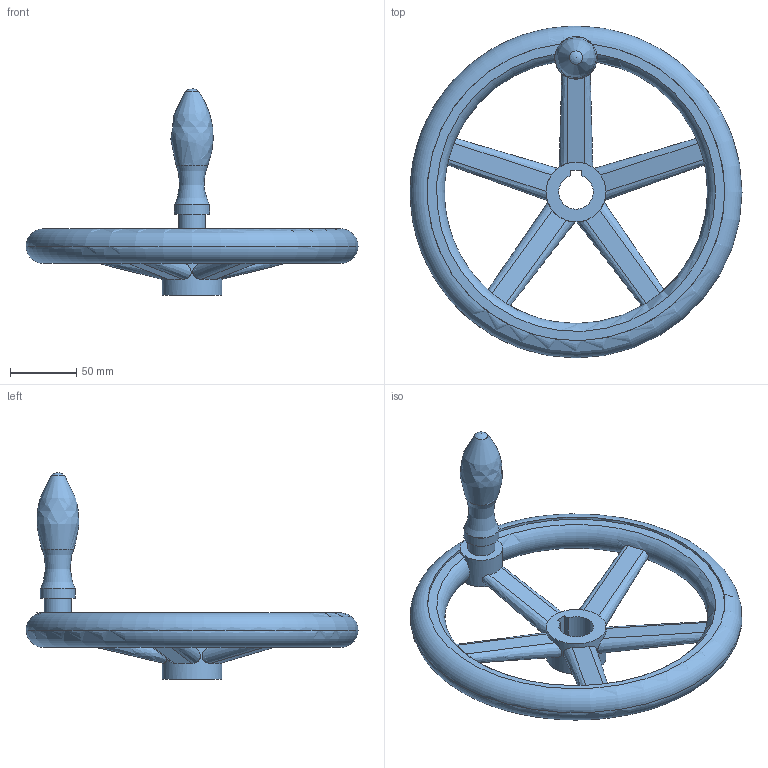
import cadquery as cq

wheel_radius = 125.0
overall_height = 155.47

tube_radius = 13.0
rim_radius = wheel_radius - tube_radius
rim_inner_radius = rim_radius - tube_radius
rim_bottom_z = 24.0
rim_mid_z = rim_bottom_z + tube_radius
rim_top_z = rim_mid_z + tube_radius
rim_step_depth = 2.0

hub_radius = 22.5
hub_height = 28.0
bore_radius = 13.0
key_width = 8.0
key_top_y = 16.3

spoke_count = 5
first_spoke_angle = 90.0
spoke_flat_width = 13.0
spoke_hub_thickness = 12.2
spoke_hub_mid_z = 18.3
spoke_rim_thickness = 8.0
spoke_rim_mid_z = 34.4
spoke_start_radius = 17.0
spoke_end_radius = 106.0

handle_y = 101.0
boss_radius = 16.0
boss_bottom_z = 25.5

shank_radius = 10.25
collar_radius = 13.25
collar_bottom_z = 61.0
collar_top_z = 68.5
neck_base_radius = 13.0
waist_radius = 9.2
waist_z = 84.3
grip_start_radius = 12.0
grip_start_z = 98.0
belly_radius = 16.0
belly_z = 118.5
tip_radius = 5.0
tip_z = 153.6


def make_rim():
    tube = (
        cq.Workplane("XZ")
        .center(rim_radius, rim_mid_z)
        .circle(tube_radius)
        .revolve(360, (-rim_radius, 0, 0), (-rim_radius, 1, 0))
    )
    step = (
        cq.Workplane("XY", origin=(0, 0, rim_top_z - rim_step_depth))
        .circle(rim_radius)
        .circle(rim_inner_radius)
        .extrude(tube_radius)
    )
    return tube.cut(step)


def make_hub():
    return cq.Workplane("XY").circle(hub_radius).extrude(hub_height)


def cut_keyed_bore(body):
    bore = cq.Workplane("XY").circle(bore_radius).extrude(hub_height)
    keyway = (
        cq.Workplane("XY")
        .center(0, key_top_y / 2)
        .rect(key_width, key_top_y)
        .extrude(hub_height)
    )
    return body.cut(bore).cut(keyway)


def along_spoke(hub_value, rim_value, radius):
    """Straight-line change of a spoke size from the hub surface to the inside of the rim."""
    fraction = (radius - hub_radius) / (rim_inner_radius - hub_radius)
    return hub_value + fraction * (rim_value - hub_value)


def spoke_section(radius):
    thickness = along_spoke(spoke_hub_thickness, spoke_rim_thickness, radius)
    mid_z = along_spoke(spoke_hub_mid_z, spoke_rim_mid_z, radius)
    section = cq.Workplane("YZ", origin=(radius, 0, mid_z)).slot2D(spoke_flat_width + thickness, thickness)
    return section.val()


def make_spoke():
    sections = [spoke_section(spoke_start_radius), spoke_section(spoke_end_radius)]
    return cq.Workplane(cq.Solid.makeLoft(sections, True))


def make_handle_boss():
    return (
        cq.Workplane("XY", origin=(0, handle_y, boss_bottom_z))
        .circle(boss_radius)
        .extrude(rim_top_z - boss_bottom_z)
    )


def make_handle():
    cap_height = overall_height - tip_z
    cap_sphere_radius = (tip_radius**2 + cap_height**2) / (2 * cap_height)
    cap_mid_radius = tip_radius / 2
    cap_drop = cap_sphere_radius - (cap_sphere_radius**2 - cap_mid_radius**2) ** 0.5
    return (
        cq.Workplane("XZ", origin=(0, handle_y, 0))
        .moveTo(0, boss_bottom_z)
        .lineTo(shank_radius, boss_bottom_z)
        .lineTo(shank_radius, collar_bottom_z)
        .lineTo(collar_radius, collar_bottom_z)
        .lineTo(collar_radius, collar_top_z)
        .lineTo(neck_base_radius, collar_top_z)
        .threePointArc((waist_radius, waist_z), (grip_start_radius, grip_start_z))
        .threePointArc((belly_radius, belly_z), (tip_radius, tip_z))
        .threePointArc((cap_mid_radius, overall_height - cap_drop), (0, overall_height))
        .close()
        .revolve(360, (0, 0, 0), (0, 1, 0))
    )


wheel = make_rim().union(make_hub())
spoke = make_spoke()
for index in range(spoke_count):
    spoke_angle = first_spoke_angle + index * 360 / spoke_count
    wheel = wheel.union(spoke.rotate((0, 0, 0), (0, 0, 1), spoke_angle))
wheel = cut_keyed_bore(wheel)
result = wheel.union(make_handle_boss()).union(make_handle())